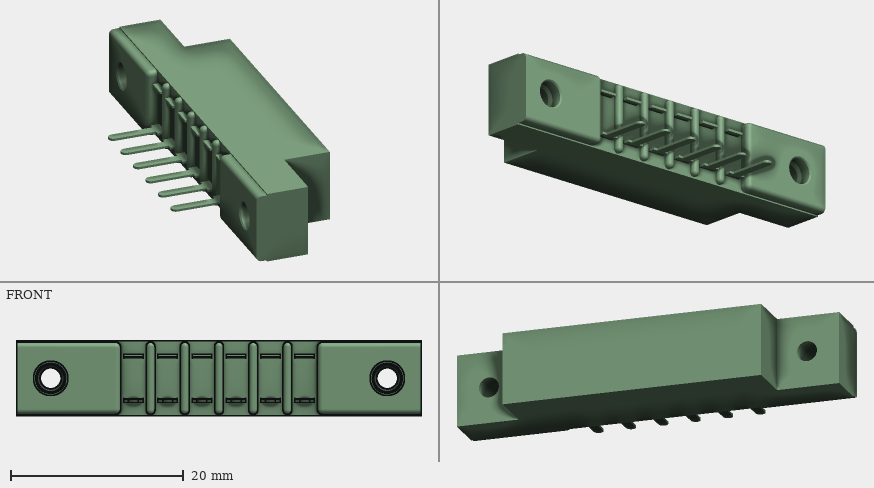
import cadquery as cq


length = 46.8
height = 8.7
body_depth = 10.75
core_length = 31.65
ear_depth = 5.1

end_block_length = 12.03
end_block_rise = 1.3
block_fillet = 0.6
rib_width = 1.05
rib_rise = 0.75
rib_flat = 0.01
rib_fillet = (rib_width - rib_flat) / 2
edge_inset = 0.165

contact_count = 6
contact_row_length = 19.8
contact_pitch = contact_row_length / (contact_count - 1)
leg_width = 2.25
leg_spacing = 5.3
strip_thickness = 0.3
slot_clearance = 0.15
leg_embed = 2.35
upper_leg_rise = 0.7
lower_leg_rise = 1.0
tail_width = 1.15
tail_reach = 6.65

bushing_spacing = 38.95
bushing_diameter = 4.0
mouth_diameter = 3.45
counterbore_diameter = 3.15
counterbore_depth = 1.5
bore_diameter = 2.45
bushing_length = end_block_rise + ear_depth

contact_positions = [(i - (contact_count - 1) / 2) * contact_pitch for i in range(contact_count)]
bushing_positions = [-bushing_spacing / 2, bushing_spacing / 2]


def box(x_min, x_max, y_min, y_max, z_min, z_max):
    """Axis-aligned box given by its limits."""
    return cq.Workplane("XY").box(
        x_max - x_min, y_max - y_min, z_max - z_min, centered=False
    ).translate((x_min, y_min, z_min))


def make_end_block():
    """Raised pad at the -X end, rounded everywhere except its outer end and its root."""
    half_height = height / 2 - edge_inset
    inner_x = end_block_length - length / 2
    block = box(-length / 2, inner_x, -end_block_rise, 0, -half_height, half_height)
    rounded_edges = block.edges(">X or <Y").edges("not <X").edges("not >Y")
    return block.newObject(rounded_edges.vals()).fillet(block_fillet)


def make_rib(x):
    """Upright divider between two contacts, with a rounded front and domed ends."""
    half_height = height / 2 - edge_inset
    rib = box(x - rib_width / 2, x + rib_width / 2, -rib_rise, 0, -half_height, half_height)
    return rib.edges("not >Y").fillet(rib_fillet)


def make_contact(x):
    """Hairpin contact: two legs joined inside the housing, the lower one carrying the tail."""
    half_leg = leg_width / 2
    half_strip = strip_thickness / 2
    upper_z = leg_spacing / 2
    lower_z = -leg_spacing / 2
    upper_leg = box(
        x - half_leg, x + half_leg, -upper_leg_rise, leg_embed, upper_z - half_strip, upper_z + half_strip
    )
    lower_leg = box(
        x - half_leg, x + half_leg, -lower_leg_rise, leg_embed, lower_z - half_strip, lower_z + half_strip
    )
    bridge = box(
        x - half_leg, x + half_leg, leg_embed - strip_thickness, leg_embed, lower_z, upper_z
    )
    half_tail = tail_width / 2
    round_start = half_tail - tail_reach
    tail = (
        cq.Workplane("XY", origin=(x, 0, lower_z - half_strip))
        .moveTo(-half_tail, 0)
        .lineTo(-half_tail, round_start)
        .threePointArc((0, -tail_reach), (half_tail, round_start))
        .lineTo(half_tail, 0)
        .close()
        .extrude(strip_thickness)
    )
    return upper_leg.union(bridge).union(lower_leg).union(tail)


def leg_clearances(x):
    """Upper and lower gaps beside the legs of one contact, from the front face to its bridge."""
    inner_z = leg_spacing / 2 - strip_thickness / 2
    upper_gap = box(
        x - leg_width / 2,
        x + leg_width / 2,
        0,
        leg_embed - strip_thickness,
        inner_z - slot_clearance,
        inner_z,
    )
    return [upper_gap, upper_gap.mirror("XY")]


def make_bushing(x):
    """Sleeve flush with the ear at both ends, chamfered and counterbored at the front."""
    outer_radius = bushing_diameter / 2
    mouth_radius = mouth_diameter / 2
    counterbore_radius = counterbore_diameter / 2
    bore_radius = bore_diameter / 2
    chamfer_end = mouth_radius - counterbore_radius - end_block_rise
    cone_start = counterbore_depth - end_block_rise
    cone_end = cone_start + counterbore_radius - bore_radius
    wall_section = [
        (outer_radius, ear_depth),
        (outer_radius, -end_block_rise),
        (mouth_radius, -end_block_rise),
        (counterbore_radius, chamfer_end),
        (counterbore_radius, cone_start),
        (bore_radius, cone_end),
        (bore_radius, ear_depth),
    ]
    sleeve = cq.Workplane("XY").polyline(wall_section).close().revolve(360, (0, 0, 0), (0, 1, 0))
    return sleeve.translate((x, 0, 0))


def bushing_hole(x):
    """Cylinder that fills the bushing seat from the front to the back of a mounting ear."""
    return cq.Workplane("XZ", origin=(x, ear_depth, 0)).circle(bushing_diameter / 2).extrude(bushing_length)


def make_housing(contacts):
    """Stepped bar with end blocks and ribs, bored for the bushings and pocketed for the contacts."""
    half_height = height / 2
    housing = box(-length / 2, length / 2, 0, ear_depth, -half_height, half_height)
    housing = housing.union(
        box(-core_length / 2, core_length / 2, 0, body_depth, -half_height, half_height)
    )
    end_block = make_end_block()
    housing = housing.union(end_block).union(end_block.mirror("YZ"))
    for left_x, right_x in zip(contact_positions, contact_positions[1:]):
        housing = housing.union(make_rib((left_x + right_x) / 2))
    for x in bushing_positions:
        housing = housing.cut(bushing_hole(x))
    for x, contact in zip(contact_positions, contacts):
        housing = housing.cut(contact)
        for gap in leg_clearances(x):
            housing = housing.cut(gap)
    return housing


contacts = [make_contact(x) for x in contact_positions]
bushings = [make_bushing(x) for x in bushing_positions]
housing = make_housing(contacts)

result = cq.Compound.makeCompound(
    [housing.val()]
    + [contact.val() for contact in contacts]
    + [bushing.val() for bushing in bushings]
)